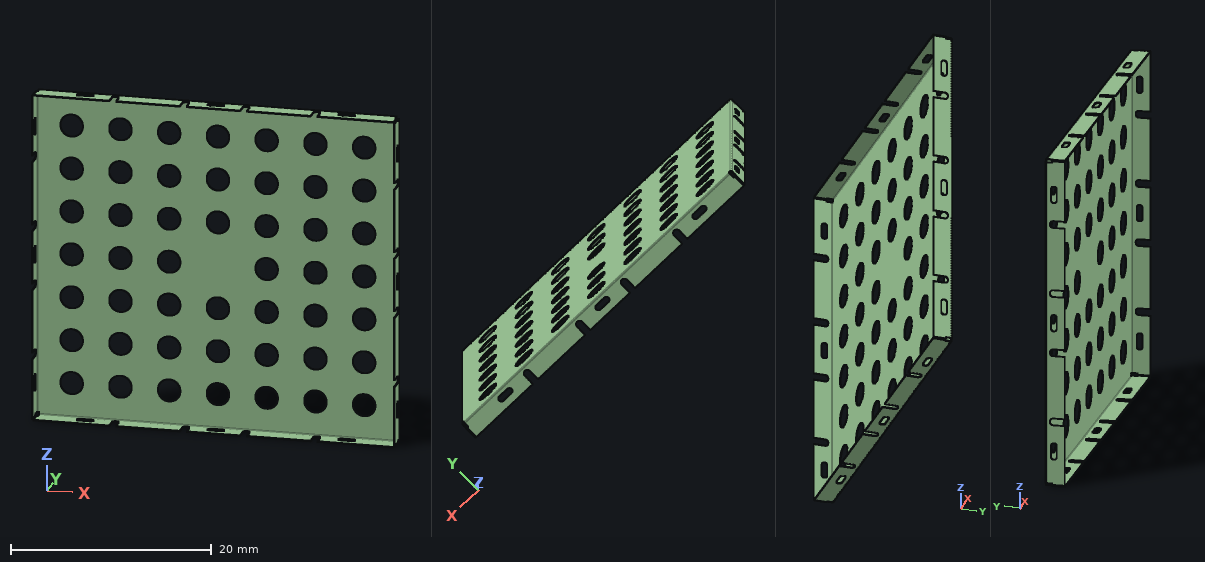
import cadquery as cq

WIDTH = 37.3
DEPTH = 2.0
HEIGHT = 34.15
SHEET = 0.1
BEND_RADIUS = 0.15

CORNER_GAP = 0.15
RELIEF_SIDE = 0.3
RELIEF_DEPTH = 0.7

HOLE_DIAMETER = 2.3
HOLES_PER_SIDE = 7
HOLE_SPAN_X = 30.0
HOLE_SPAN_Z = 27.0

SLOT_PITCH = 13.42
SLOT_LENGTH = 1.7
SLOT_WIDTH = 0.6
SLOT_FROM_BACK = 0.9
NOTCH_FROM_SLOT = 3.1
NOTCH_WIDTH = 0.7
NOTCH_FROM_BACK = 0.5

BACK = DEPTH / 2
FRONT = -DEPTH / 2


def bent_block(inset):
    """Block inset from the outer faces of the walls and plate, with its back edges rounded."""
    return (
        cq.Workplane("XY")
        .box(WIDTH - 2 * inset, DEPTH, HEIGHT - 2 * inset)
        .faces(">Y")
        .edges()
        .fillet(BEND_RADIUS - inset)
        .translate((0, -inset, 0))
    )


def tray():
    """Open tray of even sheet thickness."""
    return bent_block(0).cut(bent_block(SHEET))


def corner_bars(side, depth):
    """Square bars in the four outer corners, reaching forward from the back face."""
    return (
        cq.Workplane("XZ", origin=(0, BACK, 0))
        .rect(WIDTH - side, HEIGHT - side, forConstruction=True)
        .vertices()
        .rect(side, side)
        .extrude(depth)
    )


def plate_holes():
    """Cylinders for the hole grid, without the middle one."""
    middle = HOLES_PER_SIDE // 2
    pitch_x = HOLE_SPAN_X / (HOLES_PER_SIDE - 1)
    pitch_z = HOLE_SPAN_Z / (HOLES_PER_SIDE - 1)
    steps = range(-middle, middle + 1)
    centres = [(i * pitch_x, j * pitch_z) for i in steps for j in steps if (i, j) != (0, 0)]
    return (
        cq.Workplane("XZ")
        .pushPoints(centres)
        .circle(HOLE_DIAMETER / 2)
        .extrude(DEPTH, both=True)
    )


def wall_openings(plane, reach):
    """Slots and notches through two opposite walls; local x runs along the wall, local y is Y."""
    slots_at = [-SLOT_PITCH, 0, SLOT_PITCH]
    notches_at = [
        -SLOT_PITCH + NOTCH_FROM_SLOT,
        -NOTCH_FROM_SLOT,
        NOTCH_FROM_SLOT,
        SLOT_PITCH - NOTCH_FROM_SLOT,
    ]
    slots = (
        cq.Workplane(plane)
        .pushPoints([(x, BACK - SLOT_FROM_BACK) for x in slots_at])
        .slot2D(SLOT_LENGTH, SLOT_WIDTH)
        .extrude(reach, both=True)
    )
    notch_depth = DEPTH - NOTCH_FROM_BACK
    notches = (
        cq.Workplane(plane)
        .pushPoints([(x, FRONT) for x in notches_at])
        .slot2D(2 * notch_depth, NOTCH_WIDTH, 90)
        .extrude(reach, both=True)
    )
    return slots.union(notches)


along_z = cq.Plane(origin=(0, 0, 0), xDir=(0, 0, 1), normal=(-1, 0, 0))

result = (
    tray()
    .cut(corner_bars(CORNER_GAP, DEPTH))
    .cut(corner_bars(RELIEF_SIDE, RELIEF_DEPTH))
    .cut(plate_holes())
    .cut(wall_openings("XY", HEIGHT))
    .cut(wall_openings(along_z, WIDTH))
)